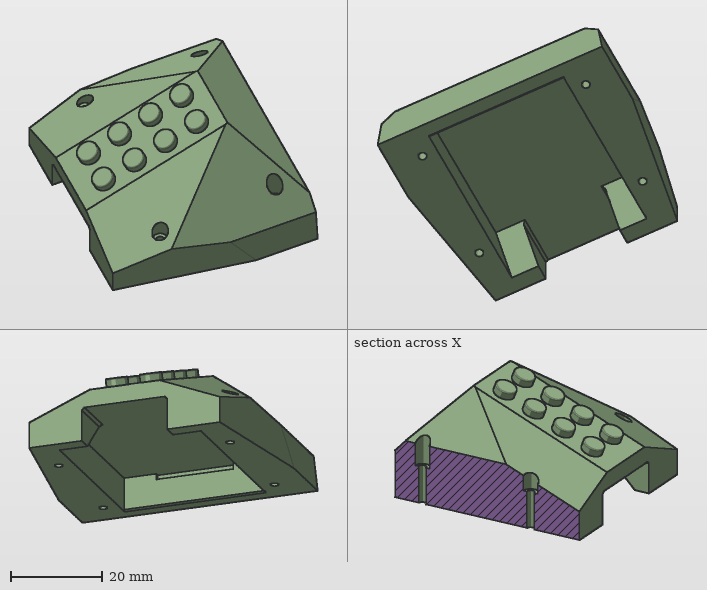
import cadquery as cq
import math

base_half_width = 27.55
length = 46.9
ridge_y = 34.0
ridge_height = 25.0
front_height = 11.8
rear_height = 11.25

shoulder_half_width = 26.6
shoulder_height = 8.25
strip_half_width = 8.1
ridge_half_width = 7.9
front_half_width = 22.3
front_corner_height = 5.95
taper_end_y = 32.1

stud_diameter = 4.9
stud_height = 1.9
stud_edge_radius = 0.2
stud_pitch = 8.0
stud_columns = 2
stud_rows = 4
first_stud_distance = 6.8

screw_half_spacing_x = 20.05
front_screw_y = 12.4
rear_screw_y = 39.9
screw_diameter = 1.8
head_diameter = 3.5
head_floor_height = 8.8

opening_width = 20.0
opening_height = 7.75
opening_chamfer = 0.6

cavity_half_width = 16.55
front_wall = 3.6
rear_wall = 3.05
rear_bevel_height = 0.4

recess_width = 17.95
recess_floor_height = 6.45
recess_depth = 1.0

strip_rise = (ridge_height - front_height) / ridge_y
strip_angle = math.atan(strip_rise)
cavity_rear_y = length - rear_wall - rear_bevel_height


def mirrored_outline(plane, right_points):
    """Closed outline from its right half, mirrored about the local vertical axis."""
    left_points = [(-x, y) for x, y in reversed(right_points)]
    return cq.Workplane(plane).polyline(right_points + left_points).close()


def along_y(start_y):
    """Plane across the part, local axes X and Z, extruding toward the rear."""
    return cq.Plane(origin=(0, start_y, 0), xDir=(1, 0, 0), normal=(0, -1, 0))


def side_prism(points, half_width):
    """Prism across X from a (y, z) outline."""
    return cq.Workplane("YZ").polyline(points).close().extrude(half_width, both=True)


def strip_prism():
    """Roof with the strip and its two front side facets, running up the strip slope."""
    drop = (front_height - front_corner_height) * math.cos(strip_angle)
    run = front_half_width - strip_half_width
    roof_depth = 2 * ridge_height
    edge_drop = drop * (base_half_width - strip_half_width) / run
    section = [
        (base_half_width, -roof_depth),
        (base_half_width, -edge_drop),
        (strip_half_width, 0),
    ]
    slope_plane = cq.Plane(
        origin=(0, 0, front_height),
        xDir=(1, 0, 0),
        normal=(0, -math.cos(strip_angle), -math.sin(strip_angle)),
    )
    return mirrored_outline(slope_plane, section).extrude(2 * length, both=True)


def make_body():
    profile = side_prism(
        [(0, 0), (0, front_height), (ridge_y, ridge_height), (length, rear_height), (length, 0)],
        base_half_width,
    )
    cross_section = mirrored_outline(
        along_y(0),
        [
            (base_half_width, 0),
            (shoulder_half_width, shoulder_height),
            (ridge_half_width, ridge_height),
        ],
    ).extrude(-length)
    plan = mirrored_outline(
        "XY",
        [(front_half_width, 0), (base_half_width, taper_end_y), (base_half_width, length)],
    ).extrude(ridge_height)
    return profile.intersect(cross_section).intersect(plan).intersect(strip_prism())


def make_studs():
    middle_row = first_stud_distance + stud_pitch * (stud_rows - 1) / 2
    strip_plane = cq.Plane(
        origin=(0, 0, front_height),
        xDir=(1, 0, 0),
        normal=(0, -math.sin(strip_angle), math.cos(strip_angle)),
    )
    return (
        cq.Workplane(strip_plane)
        .center(0, middle_row)
        .rarray(stud_pitch, stud_pitch, stud_columns, stud_rows)
        .circle(stud_diameter / 2)
        .extrude(stud_height)
        .faces(cq.selectors.DirectionNthSelector(strip_plane.zDir, -1))
        .edges()
        .fillet(stud_edge_radius)
    )


def make_opening():
    half_width = opening_width / 2
    return mirrored_outline(
        along_y(0),
        [
            (half_width, 0),
            (half_width, opening_height - opening_chamfer),
            (half_width - opening_chamfer, opening_height),
        ],
    ).extrude(-cavity_rear_y)


def make_cavity():
    return side_prism(
        [
            (front_wall, 0),
            (front_wall + opening_height, opening_height),
            (cavity_rear_y, opening_height),
            (cavity_rear_y, rear_bevel_height),
            (length - rear_wall, 0),
        ],
        cavity_half_width,
    )


def make_recess():
    return cq.Workplane("XY").box(
        recess_width,
        recess_depth,
        opening_height - recess_floor_height,
        centered=(True, False, False),
    ).translate((0, cavity_rear_y, recess_floor_height))


def make_screw_holes():
    screw_points = [
        (side * screw_half_spacing_x, y)
        for side in (-1, 1)
        for y in (front_screw_y, rear_screw_y)
    ]
    plan = cq.Workplane("XY").pushPoints(screw_points)
    shanks = plan.circle(screw_diameter / 2).extrude(ridge_height)
    heads = (
        cq.Workplane("XY", origin=(0, 0, head_floor_height))
        .pushPoints(screw_points)
        .circle(head_diameter / 2)
        .extrude(ridge_height)
    )
    return shanks.union(heads)


result = (
    make_body()
    .union(make_studs())
    .cut(make_opening())
    .cut(make_cavity())
    .cut(make_recess())
    .cut(make_screw_holes())
)